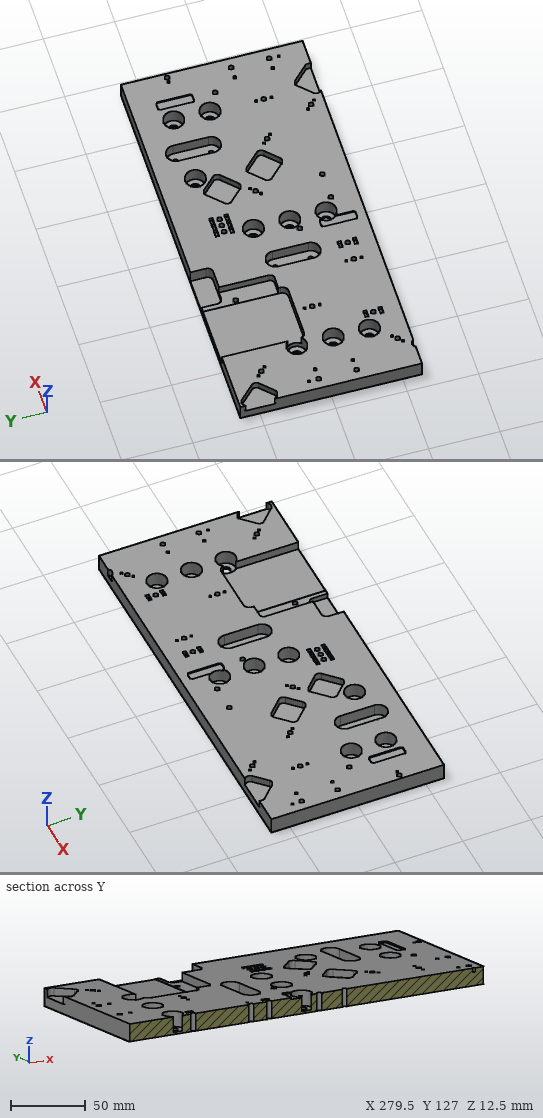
import cadquery as cq
import math

length = 279.5
width = 127.0
thickness = 12.5
pitch = length / 11

bolt_d = 6.7
bolt_head_d = 14.2
bolt_head_depth = 10.5
bolt_x0 = 1.5 * pitch
bolt_columns = [
    (0, (1, 2, 3)),
    (4, (1, 2, 3)),
    (6, (4,)),
    (8, (3, 4)),
]

tilted_long = 20.7
tilted_short = 19.0
tilted_depth = 5.5
tilted_corner_r = 3.4
tilted_pockets = [
    (176.9, 87.0, 45),
    (187.8, 54.2, -45),
    (247.5, 2.5, -45),
    (4.0, 112.5, -45),
    (18.2, -11.0, -45),
]

main_left = 43.3
main_right = 87.5
main_front = 68.5
main_depth = 6.5
main_corner_r = 4.5
side_right = 99.5
side_front = 74.3
side_depth = 6.1
side_corner_r = 3.0
deep_left = 90.8
deep_right = 116.8
deep_front = 112.3
deep_depth = 10.0
deep_corner_r = 4.0

slot_width = 13.0
slot_hole_spacing = 25.0
slot_depth = 9.2
slot_centres = [(111.2, 57.0), (214.3, 95.8)]

recess_width = 6.7
recess_length = 25.1
recess_depth = 1.0
recess_corner_r = 1.7
recess_centres = [(131.0, 19.3), (255.0, 96.5)]

pin_d = 3.4
pip_d = 1.6
large_pip_d = 2.0
pip_depth = 2.8
pip_offset = 5.3
diagonal_offset = 4.2
diagonal_step = diagonal_offset / math.sqrt(2)
end_pip_offset = 6.7
edge_pip_offset = 3.5
large_pip_offset = 8.5
dash_length = 5.0
dash_width = 2.2
dash_spacing = 5.3

row_y = 19.0
bank_y = 95.8
bank_x = 148.0
end_pin_inset = 7.5
left_pin_ys = (43.5, 70.0)
right_pin_ys = (25.7, 52.2)

plain_pins = [(90.2, 103.5), (130.8, 46.5), (255.0, 68.5), (149.8, row_y), (169.5, row_y)]
straight_sets = [(66.5, 57.0), (96.0, row_y), (240.5, 38.8)]
diagonal_sets = [
    (24.5, 105.0, -1),
    (24.5, 9.8, 1),
    (169.0, 66.0, 1),
    (208.5, 46.0, -1),
    (227.2, 9.8, -1),
]
dashed_pins = [(50.3, row_y), (110.5, row_y)]
dashed_pins += [(bank_x + step * dash_spacing, bank_y) for step in (-1, 0, 1)]
edge_pin = (276.0, bank_y)


def round_cut(points, diameter, depth):
    """Cylinders reaching down from the top face."""
    top_face = cq.Workplane("XY", origin=(0, 0, thickness))
    return top_face.pushPoints(points).circle(diameter / 2).extrude(-depth)


def rectangle_cut(x, y, size_x, size_y, depth, corner_r, angle=0):
    """Block reaching down from the top face, with rounded upright edges."""
    block = cq.Workplane("XY").rect(size_x, size_y).extrude(-depth).edges("|Z").fillet(corner_r)
    return block.rotate((0, 0, 0), (0, 0, 1), angle).translate((x, y, thickness))


def back_pocket(left, right, front, depth, left_r, right_r):
    """Pocket open at the back edge; a radius of zero leaves that front corner square."""
    pocket = cq.Workplane("XY").box(right - left, width - front, depth, centered=False)
    pocket = pocket.translate((left, front, thickness - depth))
    if left_r:
        pocket = pocket.edges("|Z and <X and <Y").fillet(left_r)
    return pocket.edges("|Z and >X and <Y").fillet(right_r)


plate = cq.Workplane("XY").box(length, width, thickness, centered=False)

bolts = [(bolt_x0 + column * pitch, row * pitch) for column, rows in bolt_columns for row in rows]
plate = plate.cut(round_cut(bolts, bolt_d, thickness))
plate = plate.cut(round_cut(bolts, bolt_head_d, bolt_head_depth))

for x, y, angle in tilted_pockets:
    plate = plate.cut(rectangle_cut(x, y, tilted_long, tilted_short, tilted_depth, tilted_corner_r, angle))
for x, y in recess_centres:
    plate = plate.cut(rectangle_cut(x, y, recess_width, recess_length, recess_depth, recess_corner_r))
plate = plate.cut(back_pocket(main_left, main_right, main_front, main_depth, main_corner_r, main_corner_r))
plate = plate.cut(back_pocket(main_right, side_right, side_front, side_depth, 0, side_corner_r))
plate = plate.cut(back_pocket(deep_left, deep_right, deep_front, deep_depth, deep_corner_r, deep_corner_r))

slot_top = cq.Workplane("XY", origin=(0, 0, thickness)).pushPoints(slot_centres)
plate = plate.cut(slot_top.slot2D(slot_hole_spacing + slot_width, slot_width, 90).extrude(-slot_depth))

pins = plain_pins + straight_sets + dashed_pins + [edge_pin]
pips = [(edge_pin[0] - edge_pip_offset, edge_pin[1])]
large_pips = []
dashes = []
for x, y in slot_centres:
    pins += [(x, y + side * slot_hole_spacing / 2) for side in (-1, 1)]
for x, y in straight_sets:
    pips += [(x, y + side * pip_offset) for side in (-1, 1)]
for x, y, slope in diagonal_sets:
    pins.append((x, y))
    pips += [(x + side * diagonal_step, y + side * slope * diagonal_step) for side in (-1, 1)]
for x, y in dashed_pins:
    dashes += [(x, y + side * pip_offset) for side in (-1, 1)]
for y in left_pin_ys:
    pins.append((end_pin_inset, y))
    large_pips.append((end_pin_inset + large_pip_offset, y))
for y in right_pin_ys:
    pins.append((length - end_pin_inset, y))
    large_pips.append((length - end_pin_inset - large_pip_offset, y))
pips.append((end_pin_inset, max(left_pin_ys) + end_pip_offset))
pips.append((length - end_pin_inset, min(right_pin_ys) - end_pip_offset))

plate = plate.cut(round_cut(pins, pin_d, thickness))
plate = plate.cut(round_cut(pips, pip_d, pip_depth))
plate = plate.cut(round_cut(large_pips, large_pip_d, pip_depth))
dash_top = cq.Workplane("XY", origin=(0, 0, thickness)).pushPoints(dashes)
plate = plate.cut(dash_top.rect(dash_length, dash_width).extrude(-pip_depth))

result = plate